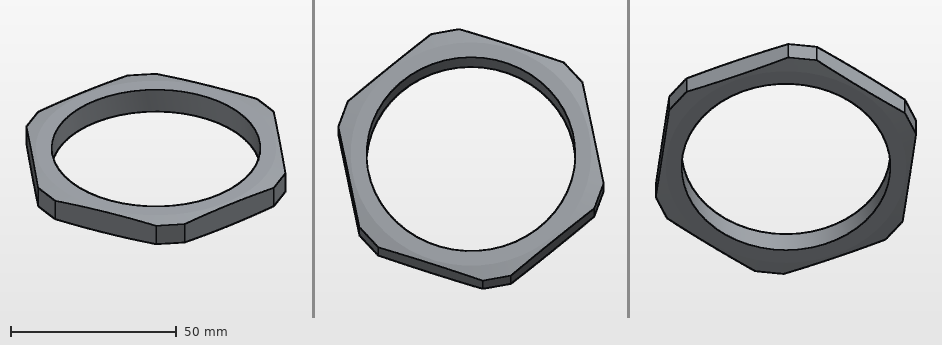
import cadquery as cq
import math

across_flats = 75.0
across_corners = 81.6
thickness = 8.0
bore_diameter = 62.9
face_diameter = 72.55
chamfer_drop = 0.65

flat_radius = across_flats / 2
corner_radius = across_corners / 2
meeting_angle = math.radians(30)
along_flat = (corner_radius - flat_radius * math.cos(meeting_angle)) / math.sin(meeting_angle)
outermost_radius = math.hypot(flat_radius, along_flat)


def hexagonal_prism(width, first_corner_angle):
    """Hexagonal prism of the given width across its flats, centred on the origin."""
    circumscribed_diameter = width / math.cos(math.radians(30))
    return (
        cq.Workplane("XY")
        .polygon(6, circumscribed_diameter)
        .extrude(thickness / 2, both=True)
        .rotate((0, 0, 0), (0, 0, 1), first_corner_angle)
    )


def chamfered_ring():
    """Turned ring with the bore and a shallow conical chamfer on both faces."""
    bore_radius = bore_diameter / 2
    face_radius = face_diameter / 2
    half_thickness = thickness / 2
    edge_height = half_thickness - chamfer_drop
    return (
        cq.Workplane("XZ")
        .moveTo(bore_radius, -half_thickness)
        .lineTo(face_radius, -half_thickness)
        .lineTo(outermost_radius, -edge_height)
        .lineTo(outermost_radius, edge_height)
        .lineTo(face_radius, half_thickness)
        .lineTo(bore_radius, half_thickness)
        .close()
        .revolve(360, (0, 0, 0), (0, 1, 0))
    )


nut_outline = hexagonal_prism(across_flats, 0).intersect(hexagonal_prism(across_corners, 30))
result = nut_outline.intersect(chamfered_ring())